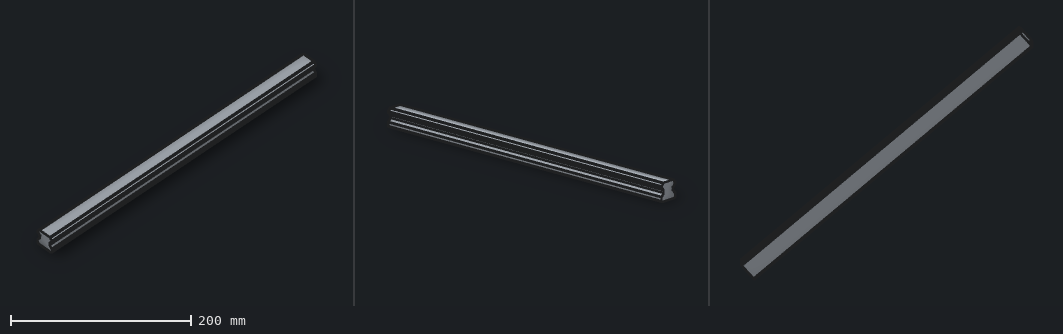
import cadquery as cq
import math

rail_width = 23.0
rail_length = 410.0
rail_height = 22.0
half_width = rail_width / 2

top_face_width = 16.2
track_top_x = 8.8
track_top_z = 21.5
track_end_x = 11.1
track_end_z = 19.0
head_flank_top = 18.7
head_flank_bottom = 17.2

undercut_start_x = 10.9
undercut_start_z = 16.9
undercut_end_x = 9.1
undercut_end_z = 14.3

track_depth = 0.3

waist_width = 15.6
waist_top = 13.2
waist_bottom = 10.0

foot_flank_top = 5.9
shoulder_edge_x = 11.0
shoulder_edge_z = 6.2
foot_chamfer_width = 1.5
foot_chamfer_height = 1.5


def track_middle(start, end):
    """Deepest point of a ball track, offset into the rail from its chord."""
    chord_x = end[0] - start[0]
    chord_z = end[1] - start[1]
    chord = math.hypot(chord_x, chord_z)
    middle_x = (start[0] + end[0]) / 2
    middle_z = (start[1] + end[1]) / 2
    return (
        middle_x - track_depth * chord_z / chord,
        middle_z + track_depth * chord_x / chord,
    )


def half_section():
    """Right half of the cross-section, traced upwards from the centre of the base."""
    undercut_end = (undercut_end_x, undercut_end_z)
    undercut_start = (undercut_start_x, undercut_start_z)
    track_end = (track_end_x, track_end_z)
    track_top = (track_top_x, track_top_z)
    return (
        cq.Workplane("XZ")
        .lineTo(half_width - foot_chamfer_width, 0)
        .lineTo(half_width, foot_chamfer_height)
        .lineTo(half_width, foot_flank_top)
        .lineTo(shoulder_edge_x, shoulder_edge_z)
        .lineTo(waist_width / 2, waist_bottom)
        .lineTo(waist_width / 2, waist_top)
        .lineTo(*undercut_end)
        .threePointArc(track_middle(undercut_end, undercut_start), undercut_start)
        .lineTo(half_width, head_flank_bottom)
        .lineTo(half_width, head_flank_top)
        .lineTo(*track_end)
        .threePointArc(track_middle(track_end, track_top), track_top)
        .lineTo(top_face_width / 2, rail_height)
        .lineTo(0, rail_height)
        .close()
    )


def build_rail():
    right_half = half_section().extrude(rail_length / 2, both=True)
    left_half = right_half.mirror("YZ")
    return right_half.union(left_half).clean()


result = build_rail()